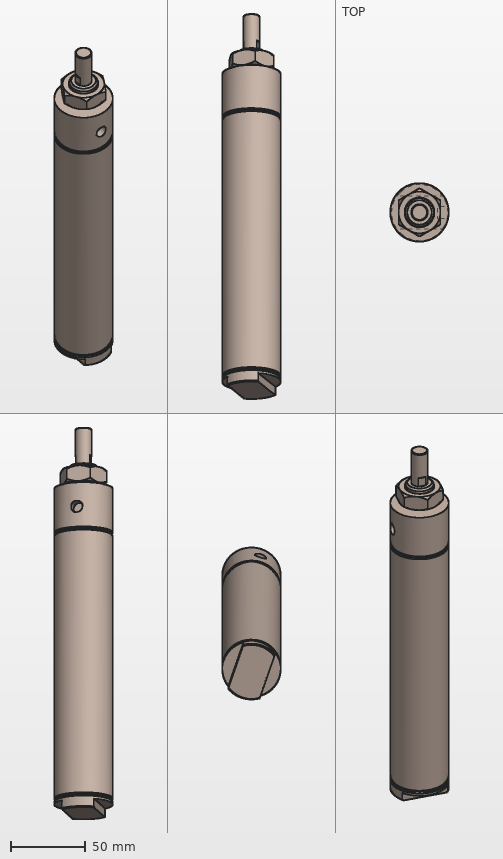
import cadquery as cq
import math

total_length = 265.2
body_diameter = 39.5
body_radius = body_diameter / 2

head_top = 224.0
nose_top = 240.0
nose_diameter = 19.0
nose_chamfer = 1.3
groove_width = 2.5
groove_floor_width = 0.8
groove_depth = 0.8
front_groove_middle = 192.5
rear_groove_middle = 9.0
rear_chamfer = 0.8

rear_flat_distance = 22.3
rear_flat_height = 6.0

port_diameter = 8.0
port_middle = 207.6
port_depth = 8.0

rod_diameter = 11.1
rod_tip_chamfer = 0.5
rod_depth_in_head = 26.5
rod_bottom = head_top - rod_depth_in_head
rod_flat_distance = 9.8
rod_flat_top = 246.5

nut_across_flats = 28.0
nut_sides = 6
half_side_angle = 180 / nut_sides
nut_across_corners = nut_across_flats / math.cos(math.radians(half_side_angle))
nut_bottom = 226.5
nut_top = 237.0
nut_chamfer_angle = 40.0
nut_countersink = 0.5


def cylinder(diameter, bottom, top):
    """Cylinder on the Z axis between two heights."""
    return cq.Workplane("XY").workplane(offset=bottom).circle(diameter / 2).extrude(top - bottom)


def side_cutters(distance, bottom, top):
    """Pair of blocks at -Y and +Y that leave two flats the given distance apart."""
    cutters = cq.Workplane("XY")
    for side in (-1, 1):
        block = cq.Workplane("XY").box(
            body_diameter, body_diameter, top - bottom, centered=(True, True, False)
        )
        cutters = cutters.add(block.translate((0, side * (distance + body_diameter) / 2, bottom)))
    return cutters.combine()


def groove_ring(middle):
    """Ring of trapezoidal section that cuts a rolled groove into the barrel."""
    return (
        cq.Workplane("XZ")
        .moveTo(body_radius, middle - groove_width / 2)
        .lineTo(body_radius, middle + groove_width / 2)
        .lineTo(body_radius - groove_depth, middle + groove_floor_width / 2)
        .lineTo(body_radius - groove_depth, middle - groove_floor_width / 2)
        .close()
        .revolve(360, (0, 0, 0), (0, 1, 0))
    )


def make_body():
    """Barrel and nose with two grooves, rear wrench flats, side port and rod hole."""
    barrel = cylinder(body_diameter, 0, head_top).faces("<Z").chamfer(rear_chamfer)
    nose = cylinder(nose_diameter, head_top, nose_top).faces(">Z").chamfer(nose_chamfer)
    port = (
        cq.Workplane("YZ")
        .workplane(offset=body_radius - port_depth)
        .center(0, port_middle)
        .circle(port_diameter / 2)
        .extrude(port_depth)
    )
    body = barrel.union(nose)
    for middle in (front_groove_middle, rear_groove_middle):
        body = body.cut(groove_ring(middle))
    body = body.cut(side_cutters(rear_flat_distance, 0, rear_flat_height))
    body = body.cut(port)
    return body.cut(cylinder(rod_diameter, rod_bottom, nose_top))


def make_rod():
    """Round rod with two wrench flats just above the nose."""
    rod = cylinder(rod_diameter, rod_bottom, total_length).faces(">Z").chamfer(rod_tip_chamfer)
    return rod.cut(side_cutters(rod_flat_distance, nose_top, rod_flat_top))


def make_nut():
    """Hexagon nut around the nose, with rounded corners and a countersunk bore."""
    hexagon = (
        cq.Workplane("XY")
        .workplane(offset=nut_bottom)
        .polygon(nut_sides, nut_across_corners)
        .extrude(nut_top - nut_bottom)
        .rotate((0, 0, 0), (0, 0, 1), half_side_angle)
    )
    flat_radius = nut_across_flats / 2
    corner_radius = nut_across_corners / 2
    corner_drop = (corner_radius - flat_radius) * math.tan(math.radians(nut_chamfer_angle))
    blank = (
        cq.Workplane("XZ")
        .moveTo(0, nut_bottom)
        .lineTo(flat_radius, nut_bottom)
        .lineTo(corner_radius, nut_bottom + corner_drop)
        .lineTo(corner_radius, nut_top - corner_drop)
        .lineTo(flat_radius, nut_top)
        .lineTo(0, nut_top)
        .close()
        .revolve(360, (0, 0, 0), (0, 1, 0))
    )
    nut = hexagon.intersect(blank).cut(cylinder(nose_diameter, nut_bottom, nut_top))
    bore_rims = nut.edges(cq.selectors.RadiusNthSelector(0))
    return bore_rims.chamfer(nut_countersink)


body = make_body()
rod = make_rod()
nut = make_nut()

result = cq.Compound.makeCompound([body.val(), rod.val(), nut.val()])